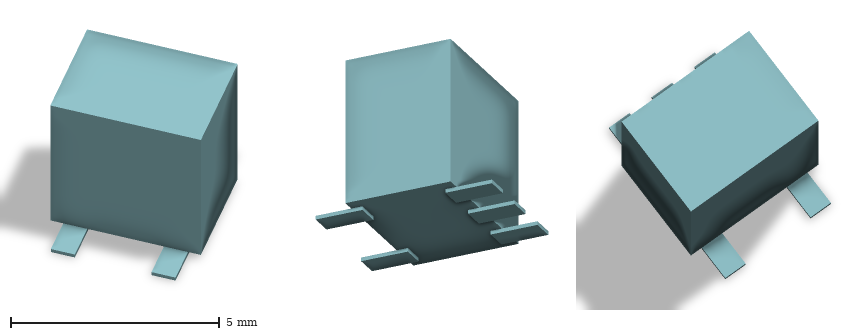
import cadquery as cq

body_width = 3.81
body_depth = 2.795
overall_depth = 4.68
overall_height = 3.9

lead_width = 0.61
lead_length = 1.24
lead_thickness = 0.1
lead_pitch = 1.275

body_height = overall_height - lead_thickness
lead_center_y = (overall_depth - lead_length) / 2

lead_positions = [(-1, 1), (0, 1), (1, 1), (-1, -1), (1, -1)]


def make_body():
    """Plain block resting on top of the leads."""
    block = cq.Workplane("XY").box(body_width, body_depth, body_height, centered=(True, True, False))
    return block.translate((0, 0, lead_thickness))


def make_lead(pitches, side):
    """Flat strip reaching from under the body out past its front or back face."""
    strip = cq.Workplane("XY").box(lead_width, lead_length, lead_thickness, centered=(True, True, False))
    return strip.translate((pitches * lead_pitch, side * lead_center_y, 0))


body = make_body()
leads = [make_lead(pitches, side) for pitches, side in lead_positions]

result = cq.Compound.makeCompound([body.val(), *[lead.val() for lead in leads]])